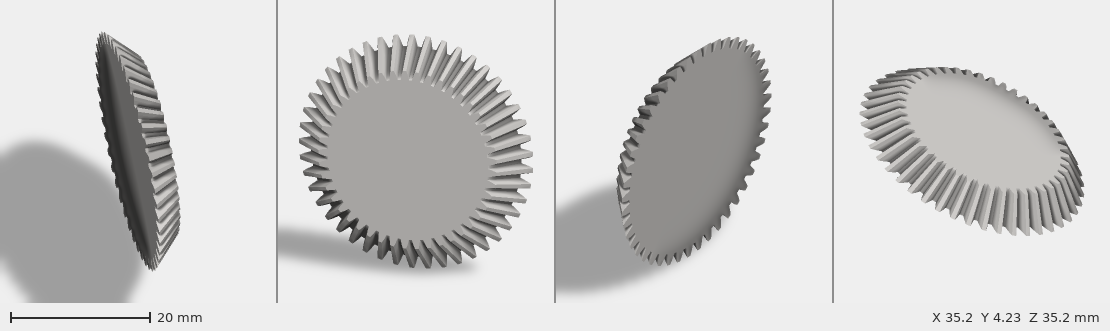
import cadquery as cq
import math

TEETH = 45
TOOTH_STEP = 2 * math.pi / TEETH
THICKNESS = 4.23
CONE_ANGLE = math.radians(45)

TIP_RADIUS = 17.62
BREAK_RADIUS = 16.85
ROOT_RADIUS = 15.85

TIP_HALF_WIDTH = 0.35
BREAK_HALF_WIDTH = 0.6
ROOT_HALF_WIDTH = 0.8

NARROW_SCALE = 1 - THICKNESS * math.tan(CONE_ANGLE) / TIP_RADIUS


def point_at(radius, angle):
    return (radius * math.cos(angle), radius * math.sin(angle))


def half_angle(half_width, radius):
    return math.asin(half_width / radius)


def gear_outline(workplane, scale):
    """Closed toothed outline, scaled about the axis, with its first tooth centred on +X."""
    root = ROOT_RADIUS * scale
    flank_break = BREAK_RADIUS * scale
    tip = TIP_RADIUS * scale
    root_angle = half_angle(ROOT_HALF_WIDTH, ROOT_RADIUS)
    break_angle = half_angle(BREAK_HALF_WIDTH, BREAK_RADIUS)
    tip_angle = half_angle(TIP_HALF_WIDTH, TIP_RADIUS)

    outline = workplane.moveTo(*point_at(root, -root_angle))
    for tooth in range(TEETH):
        centre = tooth * TOOTH_STEP
        next_centre = (tooth + 1) % TEETH * TOOTH_STEP
        outline = (
            outline.lineTo(*point_at(flank_break, centre - break_angle))
            .lineTo(*point_at(tip, centre - tip_angle))
            .threePointArc(point_at(tip, centre), point_at(tip, centre + tip_angle))
            .lineTo(*point_at(flank_break, centre + break_angle))
            .lineTo(*point_at(root, centre + root_angle))
            .threePointArc(
                point_at(root, centre + TOOTH_STEP / 2),
                point_at(root, next_centre - root_angle),
            )
        )
    return outline.close()


wide_outline = gear_outline(cq.Workplane("XZ"), 1.0)
both_outlines = gear_outline(wide_outline.workplane(offset=-THICKNESS), NARROW_SCALE)
result = both_outlines.loft(ruled=True)